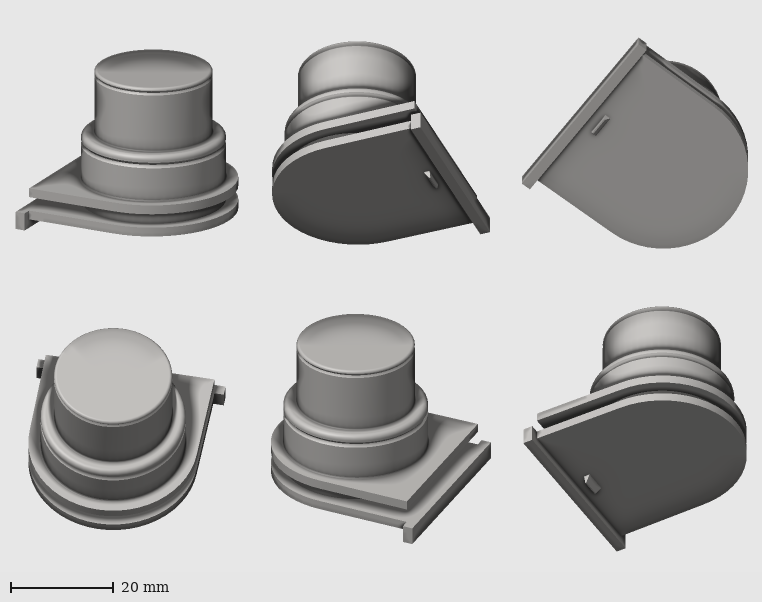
import cadquery as cq
import math

BAR_LENGTH = 37
BAR_WIDTH = 2.0

PLATE_RADIUS = 16.5
PLATE_THICKNESS = 1.8
PLATE_TILT = 0.5
SIDE_DRAFT = 0.5
LOWER_PLATE_Z = 1.9
UPPER_PLATE_Z = 6.48

BARREL_TOP = 30.7
SHOULDER_Z = 17.7
BODY_RADIUS = 14.1
CAP_RADIUS = 11.5
SHOULDER_FILLET = 1.0
CAP_FILLET = 0.55
FOOT_FILLET = 0.3

BODY_GROOVE_Z = 15.72
BODY_GROOVE_HEIGHT = 1.15
BODY_GROOVE_DEPTH = 0.48
CAP_GROOVE_Z = 29.7
CAP_GROOVE_HEIGHT = 0.9
CAP_GROOVE_DEPTH = 0.3

CATCH_OFFSET = 4.45
CATCH_TOP_LENGTH = 1.22
CATCH_TIP_LENGTH = 0.25
CATCH_TIP_Z = 0.45
CATCH_TIP_WIDTH = 3.7
CATCH_END_SLOPE = 20

BAR_OUTER_X = PLATE_RADIUS - BAR_LENGTH
BAR_INNER_X = BAR_OUTER_X + BAR_WIDTH
BARREL_BASE_Z = LOWER_PLATE_Z + PLATE_THICKNESS / 2
UPPER_PLATE_TOP = UPPER_PLATE_Z + PLATE_THICKNESS


def lower_plate_top(x):
    """Height of the lower plate's tilted top face at x."""
    tilt = math.radians(PLATE_TILT)
    return LOWER_PLATE_Z + PLATE_THICKNESS / math.cos(tilt) + x * math.tan(tilt)


def make_plate(underside_z):
    """D-shaped plate ending at the bar's inner face, tilted about the Y direction at the barrel axis."""
    draft = math.radians(SIDE_DRAFT)
    tangent_x = -PLATE_RADIUS * math.sin(draft)
    tangent_y = PLATE_RADIUS * math.cos(draft)
    end_y = tangent_y + (tangent_x - BAR_INNER_X) * math.tan(draft)
    return (
        cq.Workplane("XY")
        .moveTo(BAR_INNER_X, -end_y)
        .lineTo(tangent_x, -tangent_y)
        .threePointArc((PLATE_RADIUS, 0), (tangent_x, tangent_y))
        .lineTo(BAR_INNER_X, end_y)
        .close()
        .extrude(PLATE_THICKNESS)
        .rotate((0, 0, 0), (0, 1, 0), -PLATE_TILT)
        .translate((0, 0, underside_z))
    )


def make_bar():
    """Bar whose top is flush with the tilted top of the lower plate."""
    return (
        cq.Workplane("XZ")
        .moveTo(BAR_OUTER_X, 0)
        .lineTo(BAR_INNER_X, 0)
        .lineTo(BAR_INNER_X, lower_plate_top(BAR_INNER_X))
        .lineTo(BAR_OUTER_X, lower_plate_top(BAR_OUTER_X))
        .close()
        .extrude(BAR_LENGTH / 2, both=True)
    )


def make_cylinder(radius, bottom, top):
    return cq.Workplane("XY").workplane(offset=bottom).circle(radius).extrude(top - bottom)


def make_groove(radius, center_z, height, depth):
    """Ring with a V section to cut from a cylinder of the given radius."""
    return (
        cq.Workplane("XZ")
        .moveTo(radius - depth, center_z)
        .lineTo(radius, center_z + height / 2)
        .lineTo(radius + depth, center_z + height / 2)
        .lineTo(radius + depth, center_z - height / 2)
        .lineTo(radius, center_z - height / 2)
        .close()
        .revolve(360, (0, 0, 0), (0, 1, 0))
    )


def make_catch():
    """Wedge with an upright face toward the bar and sloping ends; its top runs into the plate."""
    outer_x = BAR_OUTER_X + CATCH_OFFSET
    plate_z = lower_plate_top(outer_x) - PLATE_THICKNESS
    slope = (plate_z - CATCH_TIP_Z) / (CATCH_TOP_LENGTH - CATCH_TIP_LENGTH)
    top_z = plate_z + PLATE_THICKNESS / 2
    tip_half_width = CATCH_TIP_WIDTH / 2
    top_half_width = tip_half_width + (top_z - CATCH_TIP_Z) * math.tan(math.radians(CATCH_END_SLOPE))
    wedge = (
        cq.Workplane("XZ")
        .moveTo(outer_x, top_z)
        .lineTo(outer_x, CATCH_TIP_Z)
        .lineTo(outer_x + CATCH_TIP_LENGTH, CATCH_TIP_Z)
        .lineTo(outer_x + CATCH_TIP_LENGTH + (top_z - CATCH_TIP_Z) / slope, top_z)
        .close()
        .extrude(top_half_width, both=True)
    )
    between_sloping_ends = (
        cq.Workplane("YZ")
        .moveTo(-top_half_width, top_z)
        .lineTo(-tip_half_width, CATCH_TIP_Z)
        .lineTo(tip_half_width, CATCH_TIP_Z)
        .lineTo(top_half_width, top_z)
        .close()
        .extrude(BAR_OUTER_X)
    )
    return wedge.intersect(between_sloping_ends)


body = make_cylinder(BODY_RADIUS, BARREL_BASE_Z, SHOULDER_Z).faces(">Z").edges().fillet(SHOULDER_FILLET)
cap = make_cylinder(CAP_RADIUS, SHOULDER_Z, BARREL_TOP).faces(">Z").edges().fillet(CAP_FILLET)

result = make_plate(LOWER_PLATE_Z).union(make_plate(UPPER_PLATE_Z)).union(make_bar()).union(body).union(cap)

for foot_radius, foot_z in ((CAP_RADIUS, SHOULDER_Z), (BODY_RADIUS, UPPER_PLATE_TOP)):
    reach = foot_radius + FOOT_FILLET / 2
    near_foot = cq.selectors.BoxSelector(
        (-reach, -reach, foot_z - FOOT_FILLET), (reach, reach, foot_z + FOOT_FILLET), boundingbox=True
    )
    result = result.edges(near_foot).fillet(FOOT_FILLET)

result = result.cut(make_groove(BODY_RADIUS, BODY_GROOVE_Z, BODY_GROOVE_HEIGHT, BODY_GROOVE_DEPTH))
result = result.cut(make_groove(CAP_RADIUS, CAP_GROOVE_Z, CAP_GROOVE_HEIGHT, CAP_GROOVE_DEPTH))
result = result.union(make_catch())